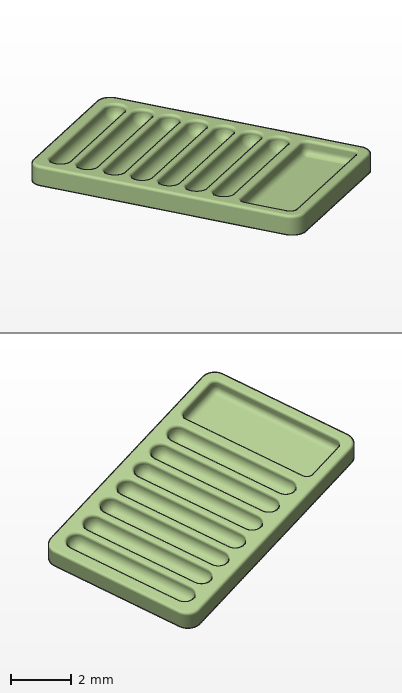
import cadquery as cq

length = 10.0
width = 6.0
thickness = 0.7
corner_radius = 0.5
edge_radius = 0.1

groove_count = 7
groove_pitch = 1.0
groove_width = 0.7
floor_strip_width = 0.002
groove_floor_radius = (groove_width - floor_strip_width) / 2
groove_depth = 0.5
groove_length = 5.0
first_groove_x = -4.17

pocket_x = 3.58
pocket_length = 2.0
pocket_width = 5.14
pocket_depth = 0.5
pocket_corner_radius = 0.23
pocket_floor_radius = 0.22


def make_plate():
    plate = cq.Workplane("XY").box(length, width, thickness, centered=(True, True, False))
    return plate.edges("|Z").fillet(corner_radius)


def make_groove(x):
    """Slot with round ends, its floor edge rounded until only a narrow flat strip is left."""
    groove = (
        cq.Workplane("XY", origin=(x, 0, thickness - groove_depth))
        .slot2D(groove_length, groove_width, angle=90)
        .extrude(groove_depth)
    )
    return groove.faces("<Z").edges().fillet(groove_floor_radius)


def make_pocket():
    pocket = (
        cq.Workplane("XY", origin=(pocket_x, 0, thickness - pocket_depth))
        .rect(pocket_length, pocket_width)
        .extrude(pocket_depth)
    )
    pocket = pocket.edges("|Z").fillet(pocket_corner_radius)
    return pocket.faces("<Z").edges().fillet(pocket_floor_radius)


tray = make_plate().cut(make_pocket())
for index in range(groove_count):
    tray = tray.cut(make_groove(first_groove_x + index * groove_pitch))

result = tray.faces(">Z").edges().fillet(edge_radius)